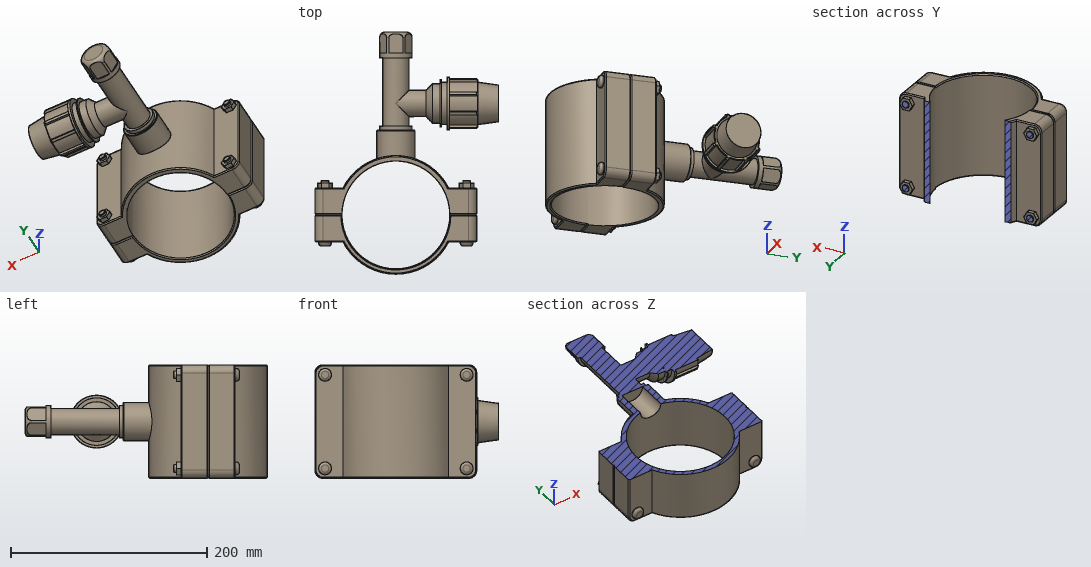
import cadquery as cq
import math

total_length = 247.3

clamp_height = 116.0
clamp_radius = 60.5
bore_radius = 55.0
ear_span = 165.2
ear_thickness = 27.7
ear_corner_radius = 8.5
edge_chamfer = 1.2

bolt_x = 72.2
bolt_z = 47.7
bolt_diameter = 8.0
bolt_end_y = 35.4
bolt_end_chamfer = 0.7
head_diameter = 13.0
head_height = 4.2
head_rim_height = 1.0
head_flat_diameter = 7.5
bolt_nut_across_flats = 13.0
bolt_nut_height = 4.7

boss_diameter = 39.3
boss_end_y = 86.5
boss_chamfer = 0.7
tube_diameter = 27.2
collar_diameter = 33.5
collar_end_y = 90.5
passage_diameter = 25.0

cap_start_y = 160.2
cap_hex_start_y = 165.5
cap_end_y = total_length - clamp_radius
cap_across_flats = 30.2
cap_rounding = 6.0

branch_y = 113.7
cone_start_x = 31.0
sleeve_start_x = 37.3
sleeve_radius = 20.3
thin_flange_start_x = 45.3
thin_flange_end_x = 46.5
thin_flange_radius = 24.2
neck_radius = 21.8
nut_flange_start_x = 52.5
nut_flange_end_x = 55.0
nut_flange_radius = 27.0
grip_end_x = 83.8
grip_radius = 24.5
grip_end_chamfer = 0.7
branch_end_x = 104.8
branch_end_radius = 18.8

rib_count = 8
rib_outer_radius = 27.0
rib_top_width = 3.0
rib_base_width = 4.0
rib_end_chamfer = 1.7


def y_plane(y):
    """Sketch plane facing +Y; its local x axis is X, so hexagons get corners on X."""
    return cq.Workplane(cq.Plane(origin=(0, y, 0), xDir=(1, 0, 0), normal=(0, 1, 0)))


def y_cylinder(diameter, start_y, end_y):
    return y_plane(start_y).circle(diameter / 2).extrude(end_y - start_y)


def y_hexagon(across_flats, start_y, end_y):
    """Hexagonal prism along Y with two of its flats facing up and down."""
    across_corners = across_flats / math.cos(math.pi / 6)
    return y_plane(start_y).polygon(6, across_corners).extrude(end_y - start_y)


def z_cylinder(radius):
    """Cylinder on the clamp axis, as tall as the clamp."""
    return cq.Workplane("XY", origin=(0, 0, -clamp_height / 2)).circle(radius).extrude(clamp_height)


def make_clamp_half(side):
    """Half of the clamp before boring, on the +Y (side = 1) or -Y (side = -1) side."""
    ears = (
        cq.Workplane("XY")
        .box(ear_span, ear_thickness, clamp_height)
        .edges("|Y")
        .fillet(ear_corner_radius)
        .translate((0, side * ear_thickness / 2, 0))
    )
    barrel = z_cylinder(clamp_radius)
    keep = (
        cq.Workplane("XY")
        .box(ear_span, clamp_radius, clamp_height)
        .translate((0, side * clamp_radius / 2, 0))
    )
    return ears.union(barrel.intersect(keep))


def chamfer_rim(half):
    """Chamfer every rim of a clamp half except the inner corners where ears meet barrel."""

    def is_rim(edge):
        return abs(edge.Length() - clamp_height) > edge_chamfer

    return half.edges("not(|Y)").filter(is_rim).chamfer(edge_chamfer)


def make_stem():
    """Boss on the clamp, collar and tube, in line along +Y."""
    boss = y_cylinder(boss_diameter, 0, boss_end_y).faces(">Y").edges().chamfer(boss_chamfer)
    collar = y_cylinder(collar_diameter, 0, collar_end_y)
    tube = y_cylinder(tube_diameter, 0, cap_start_y)
    return boss.union(collar).union(tube)


def make_clamp():
    """Both clamp halves, with the stem standing on the back one."""
    bore = z_cylinder(bore_radius)
    back = chamfer_rim(make_clamp_half(1)).union(make_stem()).cut(bore)
    front = chamfer_rim(make_clamp_half(-1).cut(bore))
    return back.union(front)


def make_bolt(x, z):
    """Bolt along Y with a domed, flat-topped head on the front ear and a nut on the back ear."""
    head = (
        cq.Workplane("XY", origin=(0, -ear_thickness, 0))
        .lineTo(head_diameter / 2, 0)
        .lineTo(head_diameter / 2, -head_rim_height)
        .tangentArcPoint((head_flat_diameter / 2, -head_height), relative=False)
        .lineTo(0, -head_height)
        .close()
        .revolve(360, (0, 0, 0), (0, 1, 0))
    )
    shank = y_cylinder(bolt_diameter, -ear_thickness, bolt_end_y)
    shank = shank.faces(">Y").edges().chamfer(bolt_end_chamfer)
    nut = y_hexagon(bolt_nut_across_flats, ear_thickness, ear_thickness + bolt_nut_height)
    return head.union(shank).union(nut).translate((x, 0, z))


def make_cap():
    """Round collar carrying a hexagon whose corners are cut to the collar diameter."""
    collar = y_cylinder(collar_diameter, cap_start_y, cap_hex_start_y)
    body = y_cylinder(collar_diameter, cap_hex_start_y, cap_end_y)
    body = body.faces(">Y").edges().fillet(cap_rounding)
    hexagon = y_hexagon(cap_across_flats, cap_hex_start_y, cap_end_y)
    return collar.union(body.intersect(hexagon))


def make_rib():
    """One tapered grip rib on the +Z side of the X axis, sloped off at its free end."""
    rib_length = grip_end_x - nut_flange_end_x
    return (
        cq.Workplane("YZ", origin=(nut_flange_end_x, 0, 0))
        .moveTo(-rib_base_width / 2, 0)
        .lineTo(-rib_base_width / 2, neck_radius)
        .lineTo(-rib_top_width / 2, rib_outer_radius)
        .lineTo(rib_top_width / 2, rib_outer_radius)
        .lineTo(rib_base_width / 2, neck_radius)
        .lineTo(rib_base_width / 2, 0)
        .close()
        .extrude(rib_length)
        .faces(">Z")
        .edges(">X")
        .chamfer(rib_end_chamfer)
    )


def make_branch():
    """Side tube and compression fitting along +X, turned about the X axis."""
    tube_radius = tube_diameter / 2
    fitting = (
        cq.Workplane("XY")
        .lineTo(0, tube_radius)
        .lineTo(cone_start_x, tube_radius)
        .lineTo(sleeve_start_x, sleeve_radius)
        .lineTo(thin_flange_start_x, sleeve_radius)
        .lineTo(thin_flange_start_x, thin_flange_radius)
        .lineTo(thin_flange_end_x, thin_flange_radius)
        .lineTo(thin_flange_end_x, neck_radius)
        .lineTo(nut_flange_start_x, neck_radius)
        .lineTo(nut_flange_start_x, nut_flange_radius)
        .lineTo(nut_flange_end_x, nut_flange_radius)
        .lineTo(nut_flange_end_x, grip_radius)
        .lineTo(grip_end_x - grip_end_chamfer, grip_radius)
        .lineTo(grip_end_x, grip_radius - grip_end_chamfer)
        .lineTo(grip_end_x, neck_radius)
        .lineTo(branch_end_x, branch_end_radius)
        .lineTo(branch_end_x, 0)
        .close()
        .revolve(360, (0, 0, 0), (1, 0, 0))
    )
    rib_spacing = 360 / rib_count
    for index in range(rib_count):
        angle = (index + 0.5) * rib_spacing
        fitting = fitting.union(make_rib().rotate((0, 0, 0), (1, 0, 0), angle))
    return fitting.translate((0, branch_y, 0))


def make_passage():
    """Blind hole from the clamp bore to the top of the boss."""
    return y_cylinder(passage_diameter, 0, boss_end_y)


result = make_clamp().union(make_branch()).union(make_cap()).cut(make_passage())
for side_x in (-1, 1):
    for side_z in (-1, 1):
        result = result.union(make_bolt(side_x * bolt_x, side_z * bolt_z))